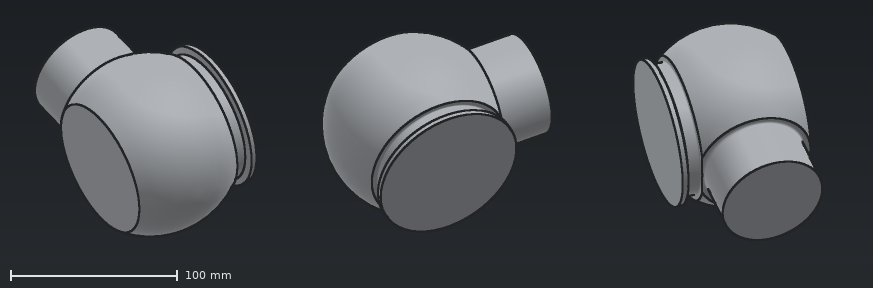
import cadquery as cq

ball_radius = 55.5
front_flat = 36.3
back_flat = 32.8
side_flat = 42.3

pipe_radius = 31.7
pipe_end = 76.6
pipe_root_fillet = 1.6

ferrule_end = 46.2
neck_radius = 41.0
neck_root_fillet = 0.8
flange_radius = 45.6
flange_rim = 3.7
flange_taper = 1.5


def make_ball():
    """Ball revolved about Y between its flats, then cut flat on the -X side."""
    front_flat_radius = (ball_radius**2 - front_flat**2) ** 0.5
    back_flat_radius = (ball_radius**2 - back_flat**2) ** 0.5
    ball = (
        cq.Workplane("XY")
        .moveTo(0, -front_flat)
        .lineTo(front_flat_radius, -front_flat)
        .threePointArc((ball_radius, 0), (back_flat_radius, back_flat))
        .lineTo(0, back_flat)
        .close()
        .revolve(360, (0, 0, 0), (0, 1, 0))
    )
    return ball.intersect(box_up_to_back_flat(-side_flat, ball_radius))


def box_up_to_back_flat(x_min, x_max):
    """Box between two X positions that ends at the +Y flat and clears the ball elsewhere."""
    return cq.Workplane("XY").box(
        x_max - x_min,
        ball_radius + back_flat,
        2 * ball_radius,
    ).translate(((x_min + x_max) / 2, (back_flat - ball_radius) / 2, 0))


def make_pipe():
    """Solid stub with a concave root fillet, trimmed level with the +Y flat."""
    fillet_start = side_flat + pipe_root_fillet
    fillet_sag = pipe_root_fillet * (1 - 0.5**0.5)
    pipe = (
        cq.Workplane("XY")
        .moveTo(-pipe_end, 0)
        .lineTo(-pipe_end, pipe_radius)
        .lineTo(-fillet_start, pipe_radius)
        .threePointArc(
            (-side_flat - fillet_sag, pipe_radius + fillet_sag),
            (-side_flat, pipe_radius + pipe_root_fillet),
        )
        .lineTo(-side_flat, 0)
        .close()
        .revolve(360, (0, 0, 0), (1, 0, 0))
    )
    return pipe.intersect(box_up_to_back_flat(-pipe_end, -side_flat))


def make_ferrule():
    """Neck with a filleted root and a taper-backed flange."""
    rim_back = ferrule_end - flange_rim
    fillet_sag = neck_root_fillet * (1 - 0.5**0.5)
    return (
        cq.Workplane("XY")
        .moveTo(0, back_flat)
        .lineTo(neck_radius + neck_root_fillet, back_flat)
        .threePointArc(
            (neck_radius + fillet_sag, back_flat + fillet_sag),
            (neck_radius, back_flat + neck_root_fillet),
        )
        .lineTo(neck_radius, rim_back - flange_taper)
        .lineTo(flange_radius, rim_back)
        .lineTo(flange_radius, ferrule_end)
        .lineTo(0, ferrule_end)
        .close()
        .revolve(360, (0, 0, 0), (0, 1, 0))
    )


result = make_ball().union(make_pipe()).union(make_ferrule())